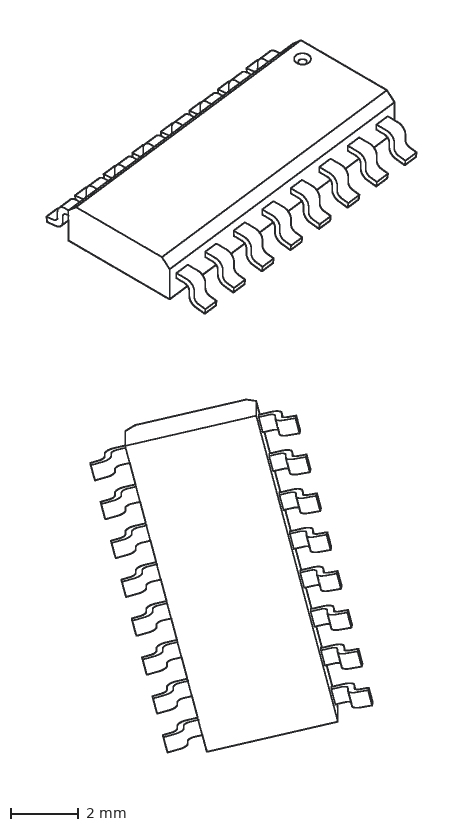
import cadquery as cq
import math

BODY_WIDTH = 3.98
BODY_LENGTH = 10.0
BODY_TOP = 1.6
STANDOFF = 0.12
SHOULDER_CHAMFER = 0.3

LEADS_PER_SIDE = 8
LEAD_PITCH = 1.27
LEAD_WIDTH = 0.5
LEAD_THICKNESS = 0.2
LEAD_SPAN = 6.26
LEAD_TOP = 0.95
RISER_OUTER_X = 2.69
BEND_OUTER_RADIUS = 0.3
BEND_INNER_RADIUS = 0.2
FOOT_ANGLE = 8.0

DIMPLE_X = -1.1
DIMPLE_Y = 4.4
DIMPLE_TOP_RADIUS = 0.25
DIMPLE_FLOOR_RADIUS = 0.13
DIMPLE_DEPTH = 0.12

END_LEAD_Y = LEAD_PITCH * (LEADS_PER_SIDE - 1) / 2


def make_body():
    """Block with its two long top edges chamfered."""
    height = BODY_TOP - STANDOFF
    body = cq.Workplane("XY").workplane(offset=STANDOFF)
    body = body.rect(BODY_WIDTH, BODY_LENGTH).extrude(height)
    return body.faces(">Z").edges("|Y").chamfer(SHOULDER_CHAMFER)


def make_dimple():
    """Cone frustum to be cut from the top face."""
    slope_profile = [
        (0, BODY_TOP),
        (DIMPLE_TOP_RADIUS, BODY_TOP),
        (DIMPLE_FLOOR_RADIUS, BODY_TOP - DIMPLE_DEPTH),
        (0, BODY_TOP - DIMPLE_DEPTH),
    ]
    cone = cq.Workplane("XZ").polyline(slope_profile).close()
    cone = cone.revolve(360, (0, 0), (0, 1))
    return cone.translate((DIMPLE_X, DIMPLE_Y, 0))


def make_lead():
    """Lead on the +X side, centred on Y = 0: shoulder, knee, riser, ankle and sloping foot."""
    slope = math.radians(FOOT_ANGLE)
    root_x = BODY_WIDTH / 2
    riser_inner_x = RISER_OUTER_X - LEAD_THICKNESS
    shoulder_bottom = LEAD_TOP - LEAD_THICKNESS

    tip_top = (LEAD_SPAN / 2, LEAD_THICKNESS * math.cos(slope))
    tip_bottom = (LEAD_SPAN / 2 - LEAD_THICKNESS * math.sin(slope), 0)

    knee_top = (RISER_OUTER_X, LEAD_TOP)
    knee_bottom = (riser_inner_x, shoulder_bottom)
    ankle_top = (RISER_OUTER_X, tip_top[1] + (tip_top[0] - RISER_OUTER_X) * math.tan(slope))
    ankle_bottom = (riser_inner_x, (tip_bottom[0] - riser_inner_x) * math.tan(slope))

    outline = [
        (root_x, LEAD_TOP),
        knee_top,
        ankle_top,
        tip_top,
        tip_bottom,
        ankle_bottom,
        knee_bottom,
        (root_x, shoulder_bottom),
    ]
    lead = cq.Workplane("XZ").polyline(outline).close().extrude(LEAD_WIDTH / 2, both=True)

    bends = [
        (knee_top, BEND_OUTER_RADIUS),
        (knee_bottom, BEND_INNER_RADIUS),
        (ankle_top, BEND_INNER_RADIUS),
        (ankle_bottom, BEND_OUTER_RADIUS),
    ]
    for (corner_x, corner_z), radius in bends:
        corner_edge = cq.selectors.NearestToPointSelector((corner_x, 0, corner_z))
        lead = lead.edges("|Y").edges(corner_edge).fillet(radius)
    return lead


result = make_body().cut(make_dimple())

right_lead = make_lead()
left_lead = right_lead.mirror("YZ")
for index in range(LEADS_PER_SIDE):
    lead_y = END_LEAD_Y - index * LEAD_PITCH
    for lead in (right_lead, left_lead):
        result = result.union(lead.translate((0, lead_y, 0)))